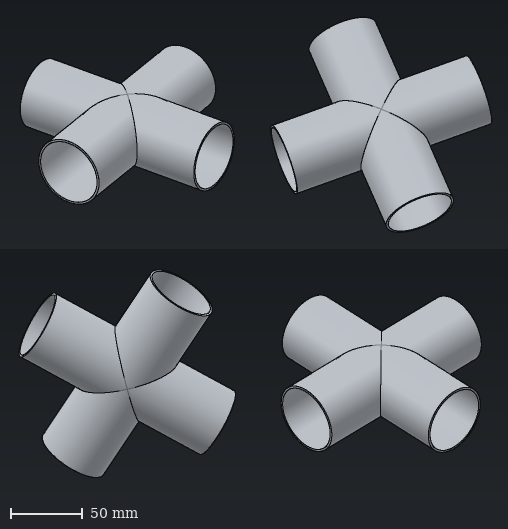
import cadquery as cq

tube_length = 146.0
outer_diameter = 50.8
inner_diameter = 47.5


def crossed_cylinders(diameter):
    """Two cylinders of one diameter, along X and along Y, joined at their middles."""
    along_x = cq.Workplane("YZ").circle(diameter / 2).extrude(tube_length / 2, both=True)
    along_y = cq.Workplane("XZ").circle(diameter / 2).extrude(tube_length / 2, both=True)
    return along_x.union(along_y)


result = crossed_cylinders(outer_diameter).cut(crossed_cylinders(inner_diameter))